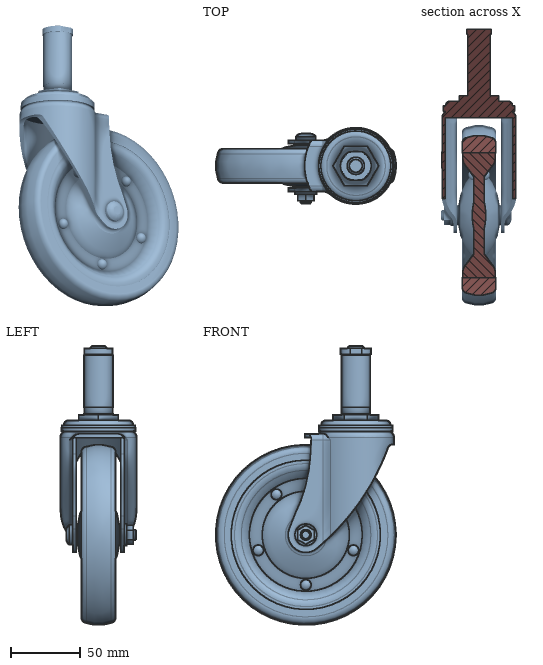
import cadquery as cq
import math


wheel_diameter = 130.0
wheel_radius = wheel_diameter / 2
overall_height = 201.0
stem_top_z = overall_height - wheel_radius
swivel_x = 36.0

tyre_width = 24.7
tyre_half_width = tyre_width / 2
crown_half_width = 8.8
crown_edge_radius = 63.5
tyre_side_radius = 58.9
tyre_bore_radius = 53.7

lip_half_width = 11.9
lip_inner_radius = 51.5
lip_curve_radius = 46.6
lip_curve_half_width = 10.0
lip_mid = (48.8, 11.5)
web_outer_radius = 40.5
web_half_width = 3.8
dome_outer_radius = 31.4
dome_inner_radius = 14.9
dome_half_width = 13.5
hub_dome_mid = (23.7, 9.5)
hub_half_width = 14.9
hub_face_radius = 7.5
spacer_radius = 7.0
rivet_count = 5
rivet_radius = 3.8
rivet_circle_radius = 36.0

sheet = 2.6
plate_outer_y = 18.5
plate_inner_y = plate_outer_y - sheet
shell_radius = 27.5
bend_start_x = 12.3
cheek_end_radius = 12.7
bridge_top_z = 72.5
bridge_fillet = 4.2
bridge_edge_x = 3.8
bridge_bulge = 4.6
shoulder_start_z = 70.1
shoulder_top_z = 74.2
shoulder_top_radius = 25.3
shoulder_mid = (27.0, 72.4)

rear_edge_top = (3.5, 58.3)
rear_edge_mid = (-0.6, 33.5)
rear_edge_bottom = (-8.2, 13.9)
cheek_end_start = (-11.9, 4.5)
front_edge_mid = (39.4, 24.5)
front_edge_top = (59.0, 62.3)
front_corner_mid = (60.5, 64.3)
front_corner_end = (62.7, 65.0)

margin = 2.0

flange_radius = 26.7
flange_bottom_z = 74.5
flange_joint_z = 77.0
flange_top_z = 79.0
flange_joint_step = 0.2
head_base_radius = 25.1
head_top_radius = 21.1
head_dome_mid = (24.0, 81.5)
hex_bottom_z = 82.5
hex_top_z = 86.2
hex_across_flats = 28.5
sleeve_radius = 10.5
sleeve_top_z = 129.0
collar_radius = sleeve_radius - 0.1
collar_bottom_z = 87.0
collar_top_z = 91.7
cap_radius = 11.0
cap_bottom_z = 130.0
cap_top_z = 134.0
cap_half_flats = 10.3
button_radius = 6.2
button_top_radius = 4.6

axle_radius = 3.8
bolt_head_radius = 7.2
bolt_head_height = 2.5
bolt_head_crown = 2.5
bolt_crown_flat = 3.0
bolt_crown_mid_radius = 5.6
bolt_crown_mid_height = 1.6
washer_radius = 7.8
washer_thickness = 2.0
nut_across_flats = 11.9
nut_height = 4.6
bolt_end_y = 27.3
bolt_end_chamfer = 1.0


def cylinder_y(radius, y_start, y_end):
    """Cylinder on the wheel axis between two Y positions."""
    return cq.Workplane("XZ", origin=(0, y_start, 0)).circle(radius).extrude(y_start - y_end)


def disc_z(radius, z_bottom, z_top):
    """Disc on the swivel axis between two heights."""
    return cq.Workplane("XY", origin=(swivel_x, 0, z_bottom)).circle(radius).extrude(z_top - z_bottom)


def hexagon_diameter(across_flats):
    return across_flats / math.cos(math.pi / 6)


def make_tyre():
    """Ring with a crowned tread and rounded shoulders."""
    mid_angle = math.radians(45)
    shoulder_mid = (
        tyre_side_radius + (crown_edge_radius - tyre_side_radius) * math.sin(mid_angle),
        crown_half_width + (tyre_half_width - crown_half_width) * math.cos(mid_angle),
    )
    return (
        cq.Workplane("XY")
        .moveTo(tyre_bore_radius, -tyre_half_width)
        .lineTo(tyre_side_radius, -tyre_half_width)
        .threePointArc((shoulder_mid[0], -shoulder_mid[1]), (crown_edge_radius, -crown_half_width))
        .threePointArc((wheel_radius, 0), (crown_edge_radius, crown_half_width))
        .threePointArc(shoulder_mid, (tyre_side_radius, tyre_half_width))
        .lineTo(tyre_bore_radius, tyre_half_width)
        .close()
        .revolve(360, (0, 0, 0), (0, 1, 0))
    )


def make_rim():
    """Dished rim with a domed hub and a circle of rivets, the same on both sides."""
    half = (
        cq.Workplane("XY")
        .moveTo(axle_radius, 0)
        .lineTo(axle_radius, plate_inner_y)
        .lineTo(spacer_radius, plate_inner_y)
        .lineTo(hub_face_radius, hub_half_width)
        .lineTo(dome_inner_radius, dome_half_width)
        .threePointArc(hub_dome_mid, (dome_outer_radius, web_half_width))
        .lineTo(web_outer_radius, web_half_width)
        .lineTo(lip_curve_radius, lip_curve_half_width)
        .threePointArc(lip_mid, (lip_inner_radius, lip_half_width))
        .lineTo(tyre_bore_radius, lip_half_width)
        .lineTo(tyre_bore_radius, 0)
        .close()
        .revolve(360, (0, 0, 0), (0, 1, 0))
    )
    for index in range(rivet_count):
        angle = math.radians(-90 + index * 360 / rivet_count)
        x = rivet_circle_radius * math.cos(angle)
        z = rivet_circle_radius * math.sin(angle)
        rivet = cq.Workplane("XY", origin=(x, web_half_width, z)).sphere(rivet_radius)
        half = half.union(rivet)
    return half.union(half.mirror("XZ"))


def plan_prism(cheek_y, radius, bend_radius, z_bottom, z_top):
    """Prism of the fork's plan: two parallel cheeks bent outwards into a round shell."""
    rear_x = -cheek_end_radius - margin
    bend_centre_y = cheek_y + bend_radius
    reach = math.hypot(swivel_x - bend_start_x, bend_centre_y)
    shell_x = swivel_x - (swivel_x - bend_start_x) * radius / reach
    shell_y = bend_centre_y * radius / reach
    half_turn = math.asin((swivel_x - bend_start_x) / reach) / 2
    bend_mid_x = bend_start_x + bend_radius * math.sin(half_turn)
    bend_mid_y = bend_centre_y - bend_radius * math.cos(half_turn)
    return (
        cq.Workplane("XY", origin=(0, 0, z_bottom))
        .moveTo(rear_x, -cheek_y)
        .lineTo(bend_start_x, -cheek_y)
        .threePointArc((bend_mid_x, -bend_mid_y), (shell_x, -shell_y))
        .threePointArc((swivel_x + radius, 0), (shell_x, shell_y))
        .threePointArc((bend_mid_x, bend_mid_y), (bend_start_x, cheek_y))
        .lineTo(rear_x, cheek_y)
        .close()
        .extrude(z_top - z_bottom)
    )


def side_profile():
    """Side outline of the fork, extruded across its whole width."""
    diagonal = cheek_end_radius * math.sqrt(0.5)
    front_x = swivel_x + shell_radius + margin
    top_z = shoulder_top_z + margin
    bridge_rear_x = bridge_edge_x - bridge_bulge - margin
    half_depth = shell_radius + margin
    return (
        cq.Workplane("XZ", origin=(0, half_depth, 0))
        .moveTo(bridge_rear_x, top_z)
        .lineTo(bridge_rear_x, bridge_top_z - sheet)
        .lineTo(bridge_edge_x, bridge_top_z - sheet)
        .lineTo(*rear_edge_top)
        .threePointArc(rear_edge_mid, rear_edge_bottom)
        .lineTo(*cheek_end_start)
        .threePointArc((0, -cheek_end_radius), (diagonal, -diagonal))
        .threePointArc(front_edge_mid, front_edge_top)
        .threePointArc(front_corner_mid, front_corner_end)
        .lineTo(front_x, front_corner_end[1])
        .lineTo(front_x, top_z)
        .close()
        .extrude(2 * half_depth)
    )


def bow_cutter():
    """Trims the rear edge of the bridge to a bowed outline."""
    far_x = bridge_edge_x - bridge_bulge - 2 * margin
    return (
        cq.Workplane("XY", origin=(0, 0, bridge_top_z - sheet - margin))
        .moveTo(far_x, -plate_outer_y)
        .lineTo(bridge_edge_x, -plate_outer_y)
        .threePointArc((bridge_edge_x - bridge_bulge, 0), (bridge_edge_x, plate_outer_y))
        .lineTo(far_x, plate_outer_y)
        .close()
        .extrude(sheet + 2 * margin)
    )


def make_swivel_head():
    """Rounded shoulder, two-part flange, domed head and hexagon on the swivel axis."""
    shell_joint_z = bridge_top_z - bridge_fillet
    head = (
        cq.Workplane("XZ")
        .moveTo(0, shell_joint_z)
        .lineTo(shell_radius, shell_joint_z)
        .lineTo(shell_radius, shoulder_start_z)
        .threePointArc(shoulder_mid, (shoulder_top_radius, shoulder_top_z))
        .lineTo(shoulder_top_radius, flange_bottom_z)
        .lineTo(flange_radius, flange_bottom_z)
        .lineTo(flange_radius, flange_joint_z)
        .lineTo(flange_radius - flange_joint_step, flange_joint_z)
        .lineTo(flange_radius - flange_joint_step, flange_top_z)
        .lineTo(head_base_radius, flange_top_z)
        .threePointArc(head_dome_mid, (head_top_radius, hex_bottom_z))
        .lineTo(0, hex_bottom_z)
        .close()
        .revolve(360, (0, 0, 0), (0, 1, 0))
        .translate((swivel_x, 0, 0))
    )
    hexagon = (
        cq.Workplane("XY", origin=(swivel_x, 0, hex_bottom_z))
        .polygon(6, hexagon_diameter(hex_across_flats))
        .extrude(hex_top_z - hex_bottom_z)
    )
    return head.union(hexagon)


def make_stem():
    """Round stem with collar, sleeve, neck, flatted cap and tapered end button."""
    base = disc_z(sleeve_radius, hex_top_z, collar_bottom_z)
    collar = disc_z(collar_radius, collar_bottom_z, collar_top_z)
    sleeve = disc_z(sleeve_radius, collar_top_z, sleeve_top_z)
    neck = disc_z(collar_radius, sleeve_top_z, cap_bottom_z)
    flats = (
        cq.Workplane("XY", origin=(swivel_x, 0, cap_bottom_z))
        .rect(3 * cap_radius, 2 * cap_half_flats)
        .extrude(cap_top_z - cap_bottom_z)
    )
    cap = disc_z(cap_radius, cap_bottom_z, cap_top_z).intersect(flats)
    button = (
        disc_z(button_radius, cap_top_z, stem_top_z)
        .faces(">Z")
        .chamfer(button_radius - button_top_radius)
    )
    return base.union(collar).union(sleeve).union(neck).union(cap).union(button)


def make_fork():
    """Pressed sheet fork in one piece with its swivel head and stem."""
    bend_radius = (
        (swivel_x - bend_start_x) ** 2 + plate_outer_y**2 - shell_radius**2
    ) / (2 * (shell_radius - plate_outer_y))
    low_z = -cheek_end_radius - margin
    outside = plan_prism(plate_outer_y, shell_radius, bend_radius, low_z, bridge_top_z)
    outside = outside.faces(">Z").edges("not <X").fillet(bridge_fillet)
    inside = plan_prism(
        plate_inner_y, shell_radius - sheet, bend_radius + sheet, low_z, bridge_top_z - sheet
    )
    shell = outside.intersect(side_profile()).cut(bow_cutter())
    fork_and_head = shell.union(make_swivel_head()).cut(inside)
    axle_hole = cylinder_y(axle_radius, -plate_outer_y, plate_outer_y)
    return fork_and_head.cut(axle_hole).union(make_stem())


def make_axle():
    """Bolt with a domed head on one side, and a washer and nut on the other."""
    head_y = plate_outer_y + bolt_head_height
    crown_y = head_y + bolt_head_crown
    washer_y = -plate_outer_y - washer_thickness
    shank = cylinder_y(axle_radius, -bolt_end_y, plate_outer_y).faces("<Y").chamfer(bolt_end_chamfer)
    head = (
        cq.Workplane("XY")
        .moveTo(0, plate_outer_y)
        .lineTo(bolt_head_radius, plate_outer_y)
        .lineTo(bolt_head_radius, head_y)
        .threePointArc((bolt_crown_mid_radius, head_y + bolt_crown_mid_height), (bolt_crown_flat, crown_y))
        .lineTo(0, crown_y)
        .close()
        .revolve(360, (0, 0, 0), (0, 1, 0))
    )
    washer = cylinder_y(washer_radius, washer_y, -plate_outer_y)
    nut = (
        cq.Workplane("XZ", origin=(0, washer_y, 0))
        .transformed(rotate=(0, 0, 90))
        .polygon(6, hexagon_diameter(nut_across_flats))
        .extrude(nut_height)
    )
    return shank.union(head).union(washer).union(nut)


tyre = make_tyre()
rim = make_rim()
fork = make_fork()
axle = make_axle()

result = cq.Compound.makeCompound([tyre.val(), rim.val(), fork.val(), axle.val()])